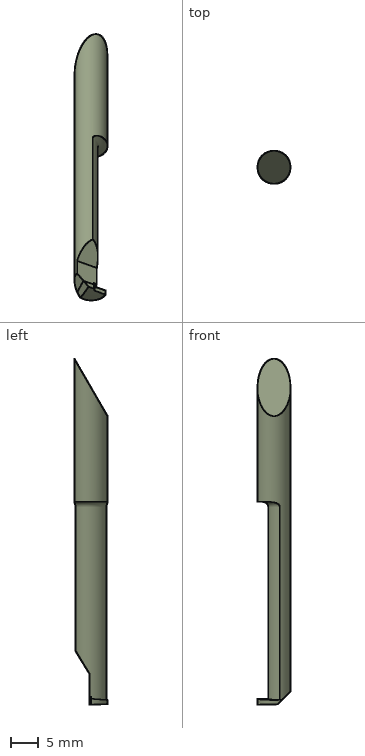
import cadquery as cq
import math

total_length = 62.45
shank_diameter = 6.0
shank_radius = shank_diameter / 2
margin = 0.6

tail_slope_height = 10.35

neck_left_x = -1.05
neck_half_width = 2.8
shoulder_z = 36.6
neck_fillet = 0.95
neck_right_x = math.sqrt(shank_radius**2 - neck_half_width**2)
neck_depth = neck_right_x - neck_left_x
neck_radius = (neck_depth**2 + neck_half_width**2) / (2 * neck_depth)
neck_axis_x = neck_left_x + neck_radius

rake_y = 0.3
flat_top_z = 5.6
runout_top_z = 9.75

head_top_z = 1.1
head_back_top_z = 0.9
end_relief = 0.1
corner_chamfer = 2.45
corner_top_z = 2.45

gash_top_z = 1.5
gash_floor_y = -0.05
gash_floor_end_x = -0.75


def prism_along_y(points):
    return cq.Workplane("XZ").polyline(points).close().extrude(shank_diameter, both=True)


def prism_along_x(points):
    return cq.Workplane("YZ").polyline(points).close().extrude(shank_diameter, both=True)


def make_stock():
    """Full round bar with the sloped tail, rake flat and bevelled lower corner."""
    stock = cq.Workplane("XY").circle(shank_radius).extrude(total_length)
    tail = prism_along_x([
        (shank_radius, total_length),
        (-shank_radius, total_length - tail_slope_height),
        (-shank_radius, total_length),
    ])
    rake = prism_along_x([
        (rake_y, -margin),
        (rake_y, flat_top_z),
        (neck_half_width, runout_top_z),
        (shank_radius + margin, runout_top_z),
        (shank_radius + margin, -margin),
    ])
    corner = prism_along_y([
        (shank_radius, corner_top_z),
        (shank_radius - corner_chamfer, corner_top_z - corner_chamfer),
        (shank_radius - corner_chamfer, -margin),
        (shank_radius + margin, -margin),
        (shank_radius + margin, corner_top_z),
    ])
    return stock.cut(tail).cut(rake).cut(corner)


def make_neck_relief():
    """Material removed around the neck, leaving a fillet below the shoulder."""
    outer_radius = neck_axis_x + shank_radius + margin
    ring_profile = (
        cq.Workplane("XZ")
        .moveTo(neck_radius, -margin)
        .lineTo(neck_radius, shoulder_z - neck_fillet)
        .radiusArc((neck_radius + neck_fillet, shoulder_z), neck_fillet)
        .lineTo(outer_radius, shoulder_z)
        .lineTo(outer_radius, -margin)
        .close()
    )
    ring = ring_profile.revolve(360, (0, 0, 0), (0, 1, 0)).translate((neck_axis_x, 0, 0))
    left_of_neck = (
        cq.Workplane("XY")
        .box(2 * shank_diameter, 2 * shank_diameter, 2 * total_length)
        .translate((neck_right_x - shank_diameter, 0, 0))
    )
    return ring.intersect(left_of_neck)


def make_head_zone():
    """Wedge between the head's top face and the end of the bar."""
    return prism_along_x([
        (rake_y, -margin),
        (rake_y, head_top_z),
        (-shank_radius, head_back_top_z),
        (-shank_radius, -margin),
    ])


def make_gash():
    gash_wall_run = rake_y - gash_floor_y
    return (
        cq.Workplane("XY")
        .polyline([
            (-shank_radius - margin, gash_floor_y),
            (gash_floor_end_x, gash_floor_y),
            (gash_floor_end_x + gash_wall_run, rake_y),
            (-shank_radius - margin, rake_y),
        ])
        .close()
        .extrude(gash_top_z)
    )


def make_bar():
    return make_stock().cut(make_neck_relief()).cut(make_gash()).cut(make_head_zone())


def make_head():
    """Cutting head under the neck, with its end face relieved in two directions."""
    across_relief = prism_along_y([
        (-shank_radius, 0),
        (shank_radius, end_relief),
        (shank_radius, -margin),
        (-shank_radius, -margin),
    ])
    heel_relief = prism_along_x([
        (gash_floor_y, 0),
        (-shank_radius, end_relief),
        (-shank_radius, -margin),
        (gash_floor_y, -margin),
    ])
    blank = make_stock().cut(make_gash()).intersect(make_head_zone())
    return blank.cut(across_relief).cut(heel_relief)


bar = make_bar()
head = make_head()
result = cq.Compound.makeCompound([*bar.solids().vals(), *head.solids().vals()])